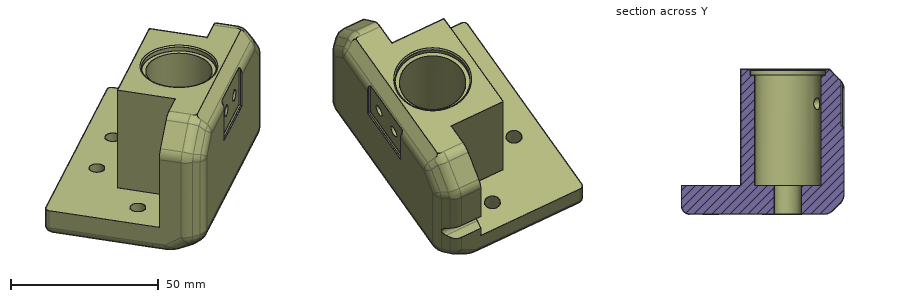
import cadquery as cq
import math

length = 55.0
width = 80.0
height = 49.1

plate_thickness = 9.8
wall_front = 40.3
block_front = 20.0
block_width = 40.0

top_corner_bevel = 10.0
back_bevel = 5.0
back_radius = back_bevel
bottom_radius = 3.0
front_corner_radius = 1.5

bore_x = 36.0
bore_diameter = 22.4
bore_floor = plate_thickness
through_diameter = 9.2
seat_diameter = 25.4
seat_depth = 2.0
seat_rim_bevel = 0.5

mount_diameter = 5.3
mount_pitch = 20.0
front_row_x = mount_pitch / 2
rear_row_x = front_row_x + mount_pitch

pocket_width = bore_diameter
pocket_depth = 1.0
pocket_bottom = 29.6
pocket_top = 46.4
pocket_floor_bevel = 0.5
cross_hole_diameter = 4.0
cross_hole_pitch = 10.0
cross_hole_height = 37.4

groove_diameter = 4.6
groove_depth = 3.6
groove_height = 17.4
groove_flare_angle = math.radians(30)

tolerance = 0.01


def box(x_range, y_range, z_range):
    sizes = [high - low for low, high in (x_range, y_range, z_range)]
    corner = (x_range[0], y_range[0], z_range[0])
    return cq.Workplane("XY").box(*sizes, centered=False).translate(corner)


def centred(size):
    return (-size / 2, size / 2)


def cylinder(diameter, x, y, bottom, top):
    return cq.Workplane("XY", origin=(x, y, bottom)).circle(diameter / 2).extrude(top - bottom)


def pick(body, edges, condition):
    """Select those edges of the body whose centre and bounds meet the condition."""
    chosen = [edge for edge in edges.vals() if condition(edge.Center(), edge.BoundingBox())]
    return body.newObject(chosen)


def make_envelope():
    """Convex block with slanted top corners and a bevelled, rounded back end."""
    body = box((0, length), centred(width), (0, height))
    body = body.edges("|X and >Z").chamfer(top_corner_bevel)
    body = body.faces(">X").edges("not <Z").chamfer(back_bevel)

    back_bottom = pick(body, body.faces("<Z").edges(), lambda centre, bounds: centre.x > wall_front)
    body = back_bottom.chamfer(back_bevel)

    def is_rounded(centre, bounds):
        on_front = bounds.xmax < tolerance
        on_plate_bottom = bounds.zmax < tolerance and centre.x < wall_front
        along_top = bounds.zmin > height - tolerance and abs(centre.y) < tolerance
        return not (on_front or on_plate_bottom or along_top)

    return pick(body, body.edges(), is_rounded).fillet(back_radius)


def clear_above_plate(body):
    """Cut the envelope down to the plate, leaving the block and the wall."""
    above_plate = (plate_thickness, height)
    clearance = box((0, wall_front), centred(width), above_plate)
    block = box((block_front, wall_front), centred(block_width), above_plate)
    return body.cut(clearance.cut(block))


def round_plate(body):
    body = body.edges("|Z and <X").fillet(front_corner_radius)
    plate_bottom = pick(body, body.faces("<Z").edges(), lambda centre, bounds: centre.x < wall_front)
    return plate_bottom.fillet(bottom_radius)


def make_bore():
    seat = cylinder(seat_diameter, bore_x, 0, height - seat_depth, height)
    rim_start = cq.Vector(bore_x, 0, height - seat_rim_bevel)
    seat_radius = seat_diameter / 2
    rim = cq.Workplane(
        cq.Solid.makeCone(seat_radius, seat_radius + seat_rim_bevel, seat_rim_bevel, pnt=rim_start)
    )
    bore = cylinder(bore_diameter, bore_x, 0, bore_floor, height)
    return cylinder(through_diameter, bore_x, 0, 0, height).union(bore).union(seat).union(rim)


def make_mount_holes():
    holes = cq.Workplane("XY")
    for x, spacing in ((front_row_x, mount_pitch), (rear_row_x, 3 * mount_pitch)):
        for y in centred(spacing):
            holes = holes.add(cylinder(mount_diameter, x, y, 0, plate_thickness))
    return holes.combine()


def make_back_pocket():
    pocket = box((length - pocket_depth, length), centred(pocket_width), (pocket_bottom, pocket_top))
    pocket = pocket.faces("<X").edges("not >Z").chamfer(pocket_floor_bevel)
    cross_holes = (
        cq.Workplane("YZ", origin=(bore_x, 0, cross_hole_height))
        .pushPoints([(y, 0) for y in centred(cross_hole_pitch)])
        .circle(cross_hole_diameter / 2)
        .extrude(length - bore_x)
    )
    return pocket.union(cross_holes)


def make_groove():
    """Round-bottomed groove whose flanks leave the arc tangentially and flare outward."""
    radius = groove_diameter / 2
    centre_depth = groove_depth - radius
    tangent_y = width / 2 - centre_depth - radius * math.sin(groove_flare_angle)
    tangent_rise = radius * math.cos(groove_flare_angle)
    mouth_rise = tangent_rise + (width / 2 - tangent_y) * math.tan(groove_flare_angle)
    return (
        cq.Workplane("YZ", origin=(wall_front, 0, groove_height))
        .moveTo(width / 2, mouth_rise)
        .lineTo(tangent_y, tangent_rise)
        .threePointArc((width / 2 - groove_depth, 0), (tangent_y, -tangent_rise))
        .lineTo(width / 2, -mouth_rise)
        .close()
        .extrude(length - wall_front)
    )


bracket = round_plate(clear_above_plate(make_envelope()))
for cutter in (make_bore(), make_mount_holes(), make_back_pocket(), make_groove()):
    bracket = bracket.cut(cutter)

result = bracket